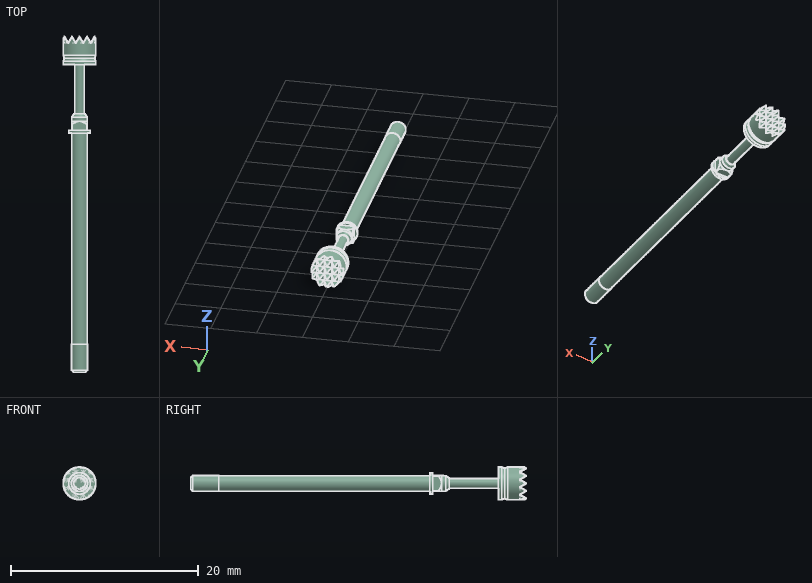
import cadquery as cq
import math

OVERALL_LENGTH = 35.8
FLANGE_THICKNESS = 0.3
REAR_LENGTH = 25.5
TAIL_LENGTH = 3.0
SQUARE_LENGTH = 0.95
COLLAR_LENGTH = 0.45
NOSE_LENGTH = 0.35
HEAD_LENGTH = 3.0
HEAD_RIM_LENGTH = 0.35
HEAD_GROOVE_WIDTH = 0.65

HEAD_DIAMETER = 3.5
HEAD_GROOVE_DEPTH = 0.12
PLUNGER_DIAMETER = 1.05
BARREL_DIAMETER = 1.68
NOSE_DIAMETER = 1.2
FLANGE_DIAMETER = 2.3
TAIL_DIAMETER = 1.72
TAIL_CHAMFER = 0.25

TOOTH_PITCH = 0.8
TOOTH_ANGLE = 60.0
CUTS_PER_SIDE = 3

TOOTH_DEPTH = TOOTH_PITCH / 2 / math.tan(math.radians(TOOTH_ANGLE / 2))

flange_front_y = FLANGE_THICKNESS
square_front_y = flange_front_y + SQUARE_LENGTH
collar_front_y = square_front_y + COLLAR_LENGTH
barrel_front_y = collar_front_y + NOSE_LENGTH
tail_end_y = -REAR_LENGTH
tip_y = tail_end_y + OVERALL_LENGTH
head_back_y = tip_y - HEAD_LENGTH


def cylinder(diameter, start_y, end_y):
    """Round bar on the Y axis between two stations."""
    start_plane = cq.Plane(origin=(0, start_y, 0), xDir=(1, 0, 0), normal=(0, 1, 0))
    return cq.Workplane(start_plane).circle(diameter / 2).extrude(end_y - start_y)


def revolved(profile):
    """Solid of revolution about Y from (radius, y) points."""
    return cq.Workplane("XY").polyline(profile).close().revolve(360, (0, 0, 0), (0, 1, 0))


def make_square():
    """Square section: corners cut to the flange diameter, front edges chamfered by a cone."""
    flare = (FLANGE_DIAMETER - BARREL_DIAMETER) / 2
    envelope = revolved([
        (0, flange_front_y),
        (FLANGE_DIAMETER / 2, flange_front_y),
        (FLANGE_DIAMETER / 2, square_front_y - flare),
        (BARREL_DIAMETER / 2, square_front_y),
        (0, square_front_y),
    ])
    across_flats = BARREL_DIAMETER
    block = cq.Workplane("XY").box(across_flats, SQUARE_LENGTH, across_flats)
    block = block.translate((0, flange_front_y + SQUARE_LENGTH / 2, 0))
    return envelope.intersect(block)


def make_barrel():
    """Chamfered tail, tube, flange, square section and the round collar with its tapered nose."""
    tail_front_y = tail_end_y + TAIL_LENGTH
    tail = cylinder(TAIL_DIAMETER, tail_end_y, tail_front_y).faces("<Y").chamfer(TAIL_CHAMFER)
    tube = cylinder(BARREL_DIAMETER, tail_front_y, 0)
    collar = cylinder(BARREL_DIAMETER, square_front_y, collar_front_y)
    nose = revolved([
        (0, collar_front_y),
        (BARREL_DIAMETER / 2, collar_front_y),
        (NOSE_DIAMETER / 2, barrel_front_y),
        (0, barrel_front_y),
    ])
    flange = cylinder(FLANGE_DIAMETER, 0, flange_front_y)
    return tail.union(tube).union(flange).union(make_square()).union(collar).union(nose)


def make_plunger():
    """Thin rod joining the barrel to the contact head."""
    return cylinder(PLUNGER_DIAMETER, barrel_front_y, head_back_y)


def make_head():
    """Contact head with a shallow V groove around it and a toothed front."""
    radius = HEAD_DIAMETER / 2
    groove_back_y = head_back_y + HEAD_RIM_LENGTH
    groove_front_y = groove_back_y + HEAD_GROOVE_WIDTH
    head = revolved([
        (0, head_back_y),
        (radius, head_back_y),
        (radius, groove_back_y),
        (radius - HEAD_GROOVE_DEPTH, (groove_back_y + groove_front_y) / 2),
        (radius, groove_front_y),
        (radius, tip_y),
        (0, tip_y),
    ])
    cut = (
        cq.Workplane("XY")
        .polyline([
            (-TOOTH_PITCH / 2, tip_y),
            (0, tip_y - TOOTH_DEPTH),
            (TOOTH_PITCH / 2, tip_y),
        ])
        .close()
        .extrude(radius, both=True)
    )
    crossing_cut = cut.rotate((0, 0, 0), (0, 1, 0), 90)
    for index in range(-CUTS_PER_SIDE, CUTS_PER_SIDE):
        offset = (index + 0.5) * TOOTH_PITCH
        head = head.cut(cut.translate((offset, 0, 0)))
        head = head.cut(crossing_cut.translate((0, 0, offset)))
    return head


result = make_barrel().union(make_plunger()).union(make_head())